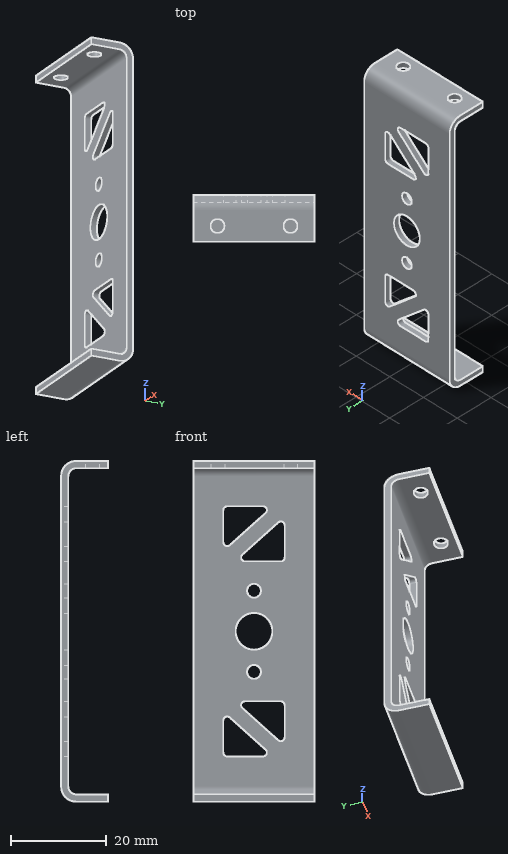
import cadquery as cq
import math

width = 25.4
depth = 9.85
height = 71.3
thickness = 1.6
outer_bend_radius = 3.2
inner_bend_radius = outer_bend_radius - thickness

center_hole_diameter = 7.6
web_hole_diameter = 2.85
web_hole_offset = 8.5
flange_hole_diameter = 2.9
flange_hole_spacing = 15.25

window_width = 12.8
window_height = 11.5
window_center_height = 20.4
strut_width = 3.3
window_corner_radius = 0.8


def make_bent_sheet():
    """U-shaped sheet, with its outer web face at the greatest Y."""
    outer = cq.Workplane("XY").box(width, depth, height).edges(">Y and |X").fillet(outer_bend_radius)
    inside = (
        cq.Workplane("XY")
        .box(width, depth, height - 2 * thickness)
        .edges(">Y and |X")
        .fillet(inner_bend_radius)
        .translate((0, -thickness, 0))
    )
    return outer.cut(inside)


def web_cutter(sketch):
    """Extrude a sketch on the XZ plane through the full depth."""
    return sketch.extrude(depth, both=True)


def make_window(side):
    """Two rounded triangles above (side=1) or below (side=-1) the web centre."""
    half_width = window_width / 2
    half_height = window_height / 2
    diagonal = math.hypot(window_width, window_height)
    horizontal_leg = window_width - strut_width / 2 * diagonal / window_height
    vertical_leg = horizontal_leg * window_height / window_width

    cutters = cq.Workplane("XZ")
    for corner in (-1, 1):
        x = corner * half_width
        z = side * (window_center_height - corner * half_height)
        triangle = cq.Workplane("XZ").polyline([
            (x, z),
            (x - corner * horizontal_leg, z),
            (x, z + side * corner * vertical_leg),
        ]).close()
        cutters = cutters.add(web_cutter(triangle).edges("|Y").fillet(window_corner_radius))
    return cutters.combine()


def make_web_holes():
    """Central hole with a smaller hole above and below it."""
    center_hole = web_cutter(cq.Workplane("XZ").circle(center_hole_diameter / 2))
    small_holes = web_cutter(
        cq.Workplane("XZ")
        .pushPoints([(0, -web_hole_offset), (0, web_hole_offset)])
        .circle(web_hole_diameter / 2)
    )
    return center_hole.union(small_holes)


def make_flange_holes():
    """Pair of holes through the upper flange, centred on its flat stretch."""
    hole_y = -outer_bend_radius / 2
    return (
        cq.Workplane("XY")
        .workplane(offset=height / 2 - thickness)
        .pushPoints([(-flange_hole_spacing / 2, hole_y), (flange_hole_spacing / 2, hole_y)])
        .circle(flange_hole_diameter / 2)
        .extrude(thickness)
    )


result = make_bent_sheet()
result = result.cut(make_web_holes())
result = result.cut(make_flange_holes())
for window_side in (-1, 1):
    result = result.cut(make_window(window_side))